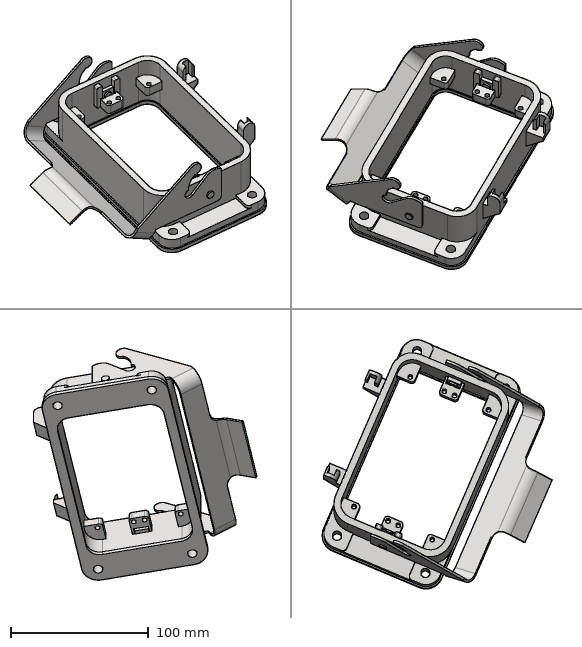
import cadquery as cq
import math

flange_length = 167.5
flange_width = 93.1
flange_radius = 12.4
flange_height = 3.4
step = 1.2
tier_length = flange_length - 2 * step
tier_width = flange_width - 2 * step
tier_radius = flange_radius - step
saddle_top = 8.9
boss_top = 11.7
boss_edge_y = 24.8
boss_corner_radius = 3.4
screw_hole = 6.7
screw_x = 73.9
screw_y = 34.8

wall = 5.0
frame_length = 135.3
frame_width = tier_width
frame_radius = 16.0
frame_top = 42.2
cavity_length = frame_length - 2 * wall
cavity_width = frame_width - 2 * wall
cavity_radius = frame_radius - wall
mid_wall_x = (frame_length - wall) / 2
mid_wall_y = (frame_width - wall) / 2
ledge = 1.0

pad_edge_x = 48.7
pad_bottom = 20.5
pad_top = 28.1
pad_corner = 2.5
corner_pad_y = 26.8
middle_pad_width = 14.4
pad_hole = 3.4
pad_hole_x = 52.0
corner_hole_y = 30.8
middle_hole_y = 4.0

pin_diameter = 5.9
pin_z = 27.8
pin_outer_x = 71.7
pin_inner_x = 58.5
slot_face_x = 58.0
slot_width = 11.0
lug_face_x = 60.0
lug_width = 10.4
lug_top = 32.5
finger_face_x = 58.6
finger_outer_y = 10.0
finger_top = 39.9
finger_round = 1.2

hook_center_x = 36.3
hook_width = 11.7
hook_upper_width = 7.4
hook_shoulder_z = 34.2
hook_back_y = 59.1
hook_front_y = 49.0
hook_top = 47.7
hook_heel_z = 30.2
hook_side = 2.7
hook_back = 1.8

sheet = 1.8
bail_half_width = 70.5
bend_radius = 9.4
tilt = math.radians(30)
bail_rear_y = 10.0
bail_bottom = 17.8
bail_heel_radius = 3.5
ear_start_z = 47.5
ear_peak = (4.0, 49.7)
ear_end = (-2.0, 47.5)
notch_center = (-18.0, 37.7)
notch_radius = 4.0
notch_angles = (-45, -135, 105)
nose_center = (-12.5, 58.6)
nose_radius = 5.0
nose_angles = (-95, 0)
nose_slope = 37.2
throat_start = (-18.8, 41.7)
throat_mid = (-17.5, 48.5)
band_edge = (-69.5, 15.9)
band_width = 18.1
band_return = 12.4

tab_half_width = 25.1
tab_fillet = 6.7
tab_bend = 9.4
tab_overlap = 1.7
tab_crest_y = -76.5
tab_end_y = -92.6


def both_sides(solid):
    """The solid together with its mirror image across the YZ plane."""
    return solid.union(solid.mirror("YZ"))


def slab(length, width, radius, bottom, top):
    """Upright block with rounded vertical corners, centred on Z."""
    return (
        cq.Workplane("XY").workplane(offset=bottom)
        .rect(length, width).extrude(top - bottom)
        .edges("|Z").fillet(radius)
    )


def box(x0, x1, y0, y1, z0, z1):
    """Axis-aligned block between two corners."""
    return cq.Workplane("XY").box(x1 - x0, y1 - y0, z1 - z0, centered=False).translate((x0, y0, z0))


def cylinder_x(diameter, y, z, x0, x1):
    """Round bar along X."""
    return cq.Workplane("YZ").workplane(offset=x0).center(y, z).circle(diameter / 2).extrude(x1 - x0)


def polar(center, radius, angle):
    """Point on a circle at an angle in degrees."""
    turn = math.radians(angle)
    return (center[0] + radius * math.cos(turn), center[1] + radius * math.sin(turn))


def make_base():
    flange = slab(flange_length, flange_width, flange_radius, 0, flange_height)
    tier = slab(tier_length, tier_width, tier_radius, flange_height, boss_top)
    saddle = (
        cq.Workplane("XY").workplane(offset=saddle_top)
        .rect(tier_length, 2 * boss_edge_y).extrude(boss_top - saddle_top)
    )
    corner = (
        cq.Workplane("XY").workplane(offset=saddle_top)
        .moveTo(tier_length / 2, boss_edge_y)
        .line(0, boss_corner_radius)
        .radiusArc((tier_length / 2 - boss_corner_radius, boss_edge_y), boss_corner_radius)
        .close().extrude(boss_top - saddle_top)
    )
    corners = both_sides(corner.union(corner.mirror("XZ")))
    holes = (
        cq.Workplane("XY").rect(2 * screw_x, 2 * screw_y, forConstruction=True)
        .vertices().circle(screw_hole / 2).extrude(boss_top)
    )
    return flange.union(tier.cut(saddle).cut(corners)).cut(holes)


def make_frame():
    outer = slab(frame_length, frame_width, frame_radius, flange_height, frame_top)
    base = make_base().union(outer)
    cavity = slab(cavity_length, cavity_width, cavity_radius, flange_height, frame_top)
    opening = slab(
        cavity_length - 2 * ledge, cavity_width - 2 * ledge, cavity_radius - ledge, 0, flange_height
    )
    return base.cut(cavity).cut(opening)


def make_pads():
    """Screw pads: one in each corner and one at the middle of each end wall."""
    corner = box(pad_edge_x, mid_wall_x, corner_pad_y, mid_wall_y, pad_bottom, pad_top)
    corner = corner.edges("|Z and <X and <Y").fillet(pad_corner)
    envelope = slab(2 * mid_wall_x, 2 * mid_wall_y, frame_radius - wall / 2, pad_bottom, pad_top)
    corner = corner.intersect(envelope)
    half = middle_pad_width / 2
    middle = box(pad_edge_x, mid_wall_x, -half, half, pad_bottom, pad_top)
    middle = middle.edges("|Z and <X").fillet(pad_corner)
    slot = box(slot_face_x, cavity_length / 2, -slot_width / 2, slot_width / 2, pad_bottom, pad_top)
    hole_ys = (-corner_hole_y, -middle_hole_y, middle_hole_y, corner_hole_y)
    holes = (
        cq.Workplane("XY").workplane(offset=pad_bottom)
        .pushPoints([(pad_hole_x, y) for y in hole_ys])
        .circle(pad_hole / 2).extrude(pad_top - pad_bottom)
    )
    pads = middle.cut(slot).union(corner).union(corner.mirror("XZ"))
    return both_sides(pads.cut(holes))


def make_pivots():
    """Pins through the end walls, with the lug around each pin."""
    lug = box(lug_face_x, mid_wall_x, -lug_width / 2, lug_width / 2, pad_bottom, lug_top)
    pin = cylinder_x(pin_diameter, 0, pin_z, pin_inner_x, pin_outer_x)
    return both_sides(lug.union(pin))


def make_fingers():
    """Two guide fingers on the -X end wall, one on each side of the lug."""
    finger = box(-mid_wall_x, -finger_face_x, lug_width / 2, finger_outer_y, pad_bottom, finger_top)
    finger = finger.edges("|X and >Z").fillet(finger_round)
    return finger.union(finger.mirror("XZ"))


def make_hooks():
    round_radius = (hook_back_y - hook_front_y) / 2
    spring_z = hook_top - round_radius
    inner_x = hook_center_x - hook_width / 2
    outer_x = hook_center_x + hook_width / 2
    upper_x = outer_x - hook_upper_width
    hook = (
        cq.Workplane("YZ").workplane(offset=inner_x)
        .moveTo(mid_wall_y, hook_shoulder_z)
        .lineTo(hook_front_y, hook_shoulder_z)
        .lineTo(hook_front_y, spring_z)
        .threePointArc((hook_front_y + round_radius, hook_top), (hook_back_y, spring_z))
        .lineTo(hook_back_y, hook_heel_z)
        .lineTo(mid_wall_y, hook_heel_z - (hook_back_y - mid_wall_y))
        .close().extrude(hook_width)
    )
    shoulder = box(inner_x, upper_x, hook_front_y, hook_back_y, hook_shoulder_z, hook_top)
    pocket = box(
        upper_x, outer_x - hook_side,
        hook_front_y + hook_side, hook_back_y - hook_back,
        hook_shoulder_z, hook_top,
    )
    return both_sides(hook.cut(shoulder).cut(pocket))


def make_bail():
    """Sheet bent to a U: its side outline is intersected with the bent sheet itself."""
    downhill = (math.cos(tilt), -math.sin(tilt))
    outward = (-math.sin(tilt), -math.cos(tilt))
    band_lower = (band_edge[0] + band_width * downhill[0], band_edge[1] + band_width * downhill[1])
    heel_run = (bail_bottom - band_lower[1]) / math.cos(tilt)
    heel = (band_lower[0] + heel_run * math.sin(tilt), bail_bottom)
    shoulder = (band_edge[0] - band_return * outward[0], band_edge[1] - band_return * outward[1])
    notch_in, notch_low, notch_out = (polar(notch_center, notch_radius, a) for a in notch_angles)
    nose_start, nose_front = (polar(nose_center, nose_radius, a) for a in nose_angles)
    nose_top = polar(nose_center, nose_radius, 90 + nose_slope)

    outline = (
        cq.Workplane("YZ").workplane(offset=-bail_half_width)
        .moveTo(bail_rear_y - bail_heel_radius, bail_bottom)
        .radiusArc((bail_rear_y, bail_bottom + bail_heel_radius), -bail_heel_radius)
        .lineTo(bail_rear_y, ear_start_z)
        .threePointArc(ear_peak, ear_end)
        .lineTo(*notch_in)
        .threePointArc(notch_low, notch_out)
        .lineTo(*throat_start)
        .threePointArc(throat_mid, nose_start)
        .threePointArc(nose_front, nose_top)
        .lineTo(*shoulder)
        .lineTo(*band_edge)
        .lineTo(*band_lower)
        .lineTo(*heel)
        .close().extrude(2 * bail_half_width)
    )

    arm_length = 134.0
    slope_length = 201.0
    square_to_band = cq.Plane(origin=(0, *band_edge), xDir=(1, 0, 0), normal=(0, *downhill))

    def u_block(inset):
        return (
            cq.Workplane(square_to_band).workplane(offset=-slope_length / 2)
            .center(0, -inset - arm_length / 2)
            .rect(2 * (bail_half_width - inset), arm_length).extrude(slope_length)
            .edges(cq.selectors.ParallelDirSelector(cq.Vector(0, *downhill)))
            .edges(cq.selectors.DirectionMinMaxSelector(cq.Vector(0, *outward), True))
            .fillet(bend_radius - inset)
        )

    u_sheet = u_block(0).cut(u_block(sheet))
    return outline.intersect(u_sheet)


def make_tab():
    """Bent tab that carries the band on and turns it downward."""
    slope = math.tan(tilt)
    upper_chord = tab_bend * math.sin(tilt)
    lower_bend = tab_bend - sheet
    lower_chord = lower_bend * math.sin(tilt)
    lower_start_z = band_edge[1] + (band_edge[0] - (tab_crest_y + lower_chord)) * slope
    center_z = lower_start_z - lower_bend * math.cos(tilt)
    upper_start_z = center_z + tab_bend * math.cos(tilt)
    skin_y = sheet * math.sin(tilt)
    skin_z = sheet * math.cos(tilt)
    root = (band_edge[0] + tab_overlap, band_edge[1] - tab_overlap * slope)
    tip_z = upper_start_z - (tab_crest_y - upper_chord - tab_end_y) * slope
    tab = (
        cq.Workplane("YZ").workplane(offset=-tab_half_width - tab_fillet)
        .moveTo(*root)
        .lineTo(tab_crest_y + lower_chord, lower_start_z)
        .threePointArc((tab_crest_y, center_z + lower_bend), (tab_crest_y - lower_chord, lower_start_z))
        .lineTo(tab_end_y + skin_y, tip_z - skin_z)
        .lineTo(tab_end_y, tip_z)
        .lineTo(tab_crest_y - upper_chord, upper_start_z)
        .threePointArc((tab_crest_y, center_z + tab_bend), (tab_crest_y + upper_chord, upper_start_z))
        .lineTo(root[0] + skin_y, root[1] + skin_z)
        .close().extrude(2 * (tab_half_width + tab_fillet))
    )
    strip = (
        cq.Workplane("XY")
        .moveTo(tab_half_width, tab_end_y)
        .lineTo(tab_half_width, band_edge[0] - tab_fillet)
        .radiusArc((tab_half_width + tab_fillet, band_edge[0]), tab_fillet)
        .lineTo(tab_half_width + tab_fillet, tab_end_y)
        .close().extrude(frame_top)
    )
    return tab.cut(both_sides(strip))


result = (
    make_frame()
    .union(make_pads())
    .union(make_pivots())
    .union(make_fingers())
    .union(make_hooks())
    .union(make_bail())
    .union(make_tab())
)